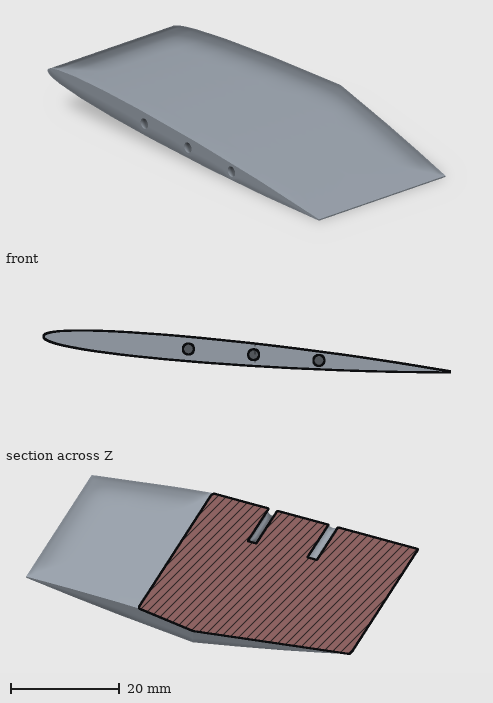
import cadquery as cq
import math

length = 74.7
incidence = 5.0
chord = length / math.cos(math.radians(incidence))
nose_radius = 0.4
trailing_thickness = 0.27
tail_fullness = 1.35
stations = 24

span = 37.5
apex_x = 38.85
tip_slope = 10.0

hole_diameter = 2.0
hole_spacing = 12.0
hole_depth = 10.0
hole_count = 3
middle_hole = 38.8


def half_thickness(distance):
    """Half thickness at a distance from the nose: root term for the nose, cubic for the tail."""
    x = distance / chord
    nose_rise = math.sqrt(2 * nose_radius * chord)
    linear_drop = nose_rise - tail_fullness - trailing_thickness / 2
    return nose_rise * math.sqrt(x) - linear_drop * x - tail_fullness * x**3


def make_wing():
    """Profile extruded from the root along +Y, with the chord level."""
    distances = [chord * (1 - math.cos(math.pi / 2 * i / stations)) for i in range(stations + 1)]
    upper = [(d, half_thickness(d)) for d in distances]
    lower = [(d, -z) for d, z in upper[1:]]
    profile = cq.Workplane("XZ").spline(upper[::-1] + lower).close()
    return profile.extrude(-span)


def make_holes():
    """Spar holes running in from the root face, with the chord level."""
    first_hole = middle_hole - hole_spacing * (hole_count - 1) / 2
    centers = [(first_hole + hole_spacing * i, 0) for i in range(hole_count)]
    return cq.Workplane("XZ").pushPoints(centers).circle(hole_diameter / 2).extrude(-hole_depth)


def make_planform():
    """Upright block with the outline seen from above, oversize at both ends and in height."""
    margin = 3.7
    height = length
    fall = math.tan(math.radians(tip_slope))
    front_x = -margin
    rear_x = length + margin
    outline = [
        (front_x, 0),
        (rear_x, 0),
        (rear_x, span - (rear_x - apex_x) * fall),
        (apex_x, span),
        (front_x, span - (apex_x - front_x) * fall),
    ]
    return cq.Workplane("XY").polyline(outline).close().extrude(height / 2, both=True)


wing = make_wing().cut(make_holes()).rotate((0, 0, 0), (0, 1, 0), incidence)
result = wing.intersect(make_planform())